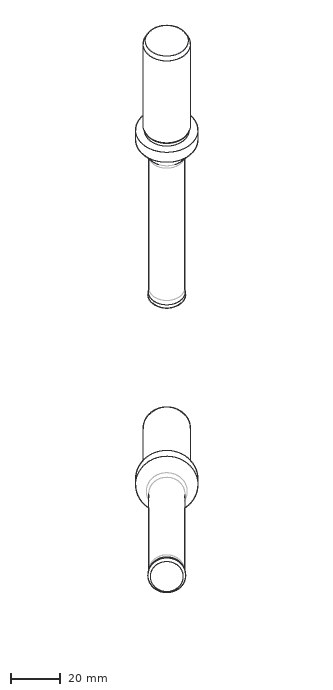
import cadquery as cq

total_length = 146.6
corner_z = 1.2
split_z = 2.8
flare_start_z = 5.1
neck_bottom_z = 81.0
neck_top_z = 83.3
collar_bottom_z = 89.7
collar_top_z = 95.5
undercut_top_z = 96.9
shank_bottom_z = 97.8
shank_chamfer_length = 1.9

tip_radius = 6.6
cutting_radius = 7.6
split_radius = 14.8 / 2
rod_radius = 14.5 / 2
neck_radius = 8.2
collar_radius = 25.0 / 2
undercut_radius = 18.0 / 2
shank_radius = 9.5
shank_top_radius = 8.6

flare_middle_z = (split_z + flare_start_z) / 2
flare_middle_radius = rod_radius + (split_radius - rod_radius) / 4


def revolve_about_z(half_outline):
    """Revolve a closed (radius, height) outline into a solid."""
    return half_outline.close().revolve(360, (0, 0, 0), (0, 1, 0))


def make_cutting_tip():
    """Slightly flared end disc with a bevelled lower corner."""
    outline = (
        cq.Workplane("XZ")
        .moveTo(0, 0)
        .lineTo(tip_radius, 0)
        .lineTo(cutting_radius, corner_z)
        .lineTo(split_radius, split_z)
        .lineTo(0, split_z)
    )
    return revolve_about_z(outline)


def make_holder():
    """Slender rod, conical collar, undercut and cylindrical shank."""
    outline = (
        cq.Workplane("XZ")
        .moveTo(0, split_z)
        .lineTo(split_radius, split_z)
        .threePointArc((flare_middle_radius, flare_middle_z), (rod_radius, flare_start_z))
        .lineTo(rod_radius, neck_bottom_z)
        .tangentArcPoint((neck_radius, neck_top_z), relative=False)
        .lineTo(collar_radius, collar_bottom_z)
        .lineTo(collar_radius, collar_top_z)
        .lineTo(undercut_radius, collar_top_z)
        .lineTo(undercut_radius, undercut_top_z)
        .lineTo(shank_radius, shank_bottom_z)
        .lineTo(shank_radius, total_length - shank_chamfer_length)
        .lineTo(shank_top_radius, total_length)
        .lineTo(0, total_length)
    )
    return revolve_about_z(outline)


cutting_tip = make_cutting_tip()
holder = make_holder()

result = cq.Compound.makeCompound([cutting_tip.val(), holder.val()])